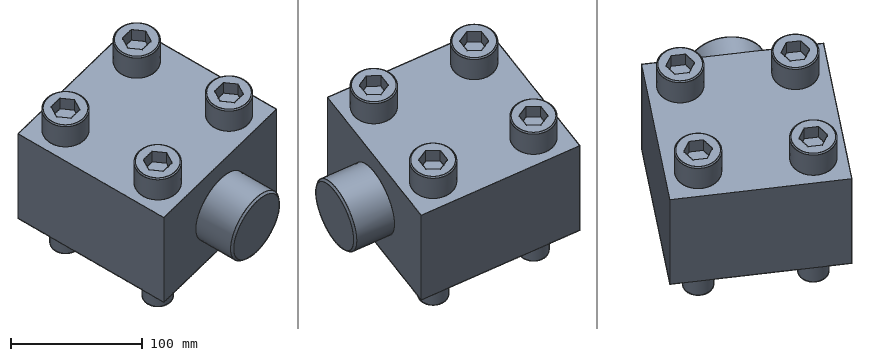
import cadquery as cq
import math

block_side = 140.0
block_height = 96.2

total_length = 175.0
port_diameter = 60.4
port_length = total_length - block_side
port_chamfer = 1.8

spigot_diameter = 90.0
spigot_height = 4.2

total_height = 154.0
screw_spacing = 88.5
shank_diameter = 24.0
head_diameter = 36.0
head_height = shank_diameter
shank_projection = total_height - block_height - head_height
shank_chamfer = 2.0
head_chamfer = 1.0
socket_across_flats = 19.0
socket_across_corners = socket_across_flats / math.cos(math.radians(30))
socket_depth = head_height / 2


def make_block():
    return cq.Workplane("XY").box(block_side, block_side, block_height, centered=(True, True, False))


def make_port():
    return (
        cq.Workplane("YZ", origin=(block_side / 2, 0, block_height / 2))
        .circle(port_diameter / 2)
        .extrude(port_length)
        .faces(">X")
        .chamfer(port_chamfer)
    )


def make_spigot():
    return cq.Workplane("XY").circle(spigot_diameter / 2).extrude(-spigot_height)


def make_screw():
    """Cap screw on the Z axis, with its head seated on the top of the block."""
    shank = (
        cq.Workplane("XY", origin=(0, 0, -shank_projection))
        .circle(shank_diameter / 2)
        .extrude(shank_projection + block_height)
        .faces("<Z")
        .chamfer(shank_chamfer)
    )
    head = (
        cq.Workplane("XY", origin=(0, 0, block_height))
        .circle(head_diameter / 2)
        .extrude(head_height)
        .faces(">Z")
        .chamfer(head_chamfer)
    )
    socket = (
        cq.Workplane("XY")
        .polygon(6, socket_across_corners)
        .extrude(-socket_depth)
        .rotate((0, 0, 0), (0, 0, 1), 90)
        .translate((0, 0, block_height + head_height))
    )
    return shank.union(head).cut(socket)


result = make_block().union(make_port()).union(make_spigot())
screw = make_screw()
for x_side in (-1, 1):
    for y_side in (-1, 1):
        screw_position = (x_side * screw_spacing / 2, y_side * screw_spacing / 2, 0)
        result = result.union(screw.translate(screw_position))